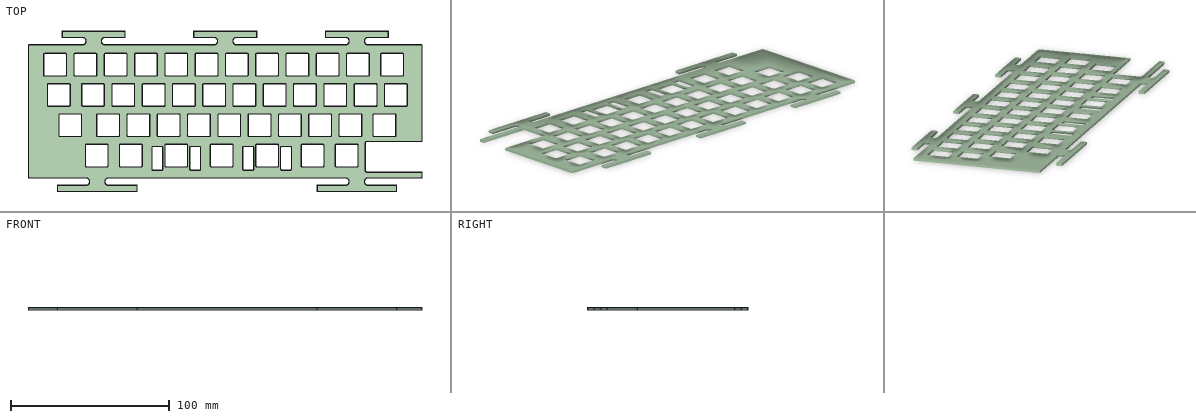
import cadquery as cq

length = 248.0
overall_width = 101.0
thickness = 1.5
corner_radius = 0.7

rail_width = 4.0
rail_gap = 4.5
neck_width = 10.0
neck_fillet = 2.0
top_rail_length = 39.7
top_rail_pitch = 82.8
bottom_rail_length = 50.0
left_bottom_rail_x = -80.5
right_bottom_rail_x = top_rail_pitch

plate_width = overall_width - 2 * (rail_width + rail_gap)
top_rail_centres = [-top_rail_pitch, 0, top_rail_pitch]
bottom_rail_centres = [left_bottom_rail_x, right_bottom_rail_x]

notch_length = 35.7
notch_width = 19.3
notch_fillet = 1.0
arm_width = 3.7

run_keys = 11
run_span = 190.7
key_unit = run_span / (run_keys - 1)
key_size = 14.1
key_fillet = 0.5
first_key_x = -length / 2 + 16.9
first_row_y = plate_width / 2 - 12.6

key_rows = [
    [*range(run_keys), 11.125],
    [0.125, *[1.25 + i for i in range(run_keys)]],
    [0.5, *[1.75 + i for i in range(9)], 10.875],
    [1.375, 2.5, 4.0, 5.5, 7.0, 8.5, 9.625],
]

wide_keys = [4.0, 7.0]
stabilizer_offset = 12.0
stabilizer_width = 6.7
stabilizer_height = 15.0
stabilizer_drop = 1.7


def key_centre(row, units):
    return (first_key_x + units * key_unit, first_row_y - row * key_unit)


def rounded_slab(width, height, radius, centres):
    """Slabs of the plate's thickness with rounded corners, one at each centre."""
    slabs = cq.Workplane("XY").pushPoints(centres).rect(width, height).extrude(thickness)
    return slabs.edges("|Z").fillet(radius)


def rail(rail_length, x, side):
    """Rail and filleted neck on the +Y (side = 1) or -Y (side = -1) edge of the plate.

    Half the outline is traced, flaring into both the plate and the bar, and then mirrored.
    """
    edge_y = side * plate_width / 2
    bar_inner_y = edge_y + side * rail_gap
    bar_outer_y = bar_inner_y + side * rail_width
    foot_y = edge_y - side * rail_width
    half_neck = neck_width / 2
    half_flare = half_neck + neck_fillet
    half_rail = (
        cq.Workplane("XY")
        .moveTo(x - half_flare, edge_y)
        .radiusArc((x - half_neck, edge_y + side * neck_fillet), side * -neck_fillet)
        .lineTo(x - half_neck, bar_inner_y - side * neck_fillet)
        .radiusArc((x - half_flare, bar_inner_y), side * -neck_fillet)
        .lineTo(x - rail_length / 2, bar_inner_y)
        .lineTo(x - rail_length / 2, bar_outer_y)
        .lineTo(x, bar_outer_y)
        .lineTo(x, foot_y)
        .lineTo(x - half_flare, foot_y)
        .close()
        .extrude(thickness)
    )
    return half_rail.union(half_rail.mirror("YZ", (x, 0, 0)))


def notch():
    centre_y = -plate_width / 2 + arm_width + notch_width / 2
    return rounded_slab(2 * notch_length, notch_width, notch_fillet, [(length / 2, centre_y)])


def key_holes():
    centres = [key_centre(row, units) for row, keys in enumerate(key_rows) for units in keys]
    return rounded_slab(key_size, key_size, key_fillet, centres)


def stabilizer_slots():
    bottom_row = len(key_rows) - 1
    centres = []
    for units in wide_keys:
        x, y = key_centre(bottom_row, units)
        for side in (-1, 1):
            centres.append((x + side * stabilizer_offset, y - stabilizer_drop))
    return rounded_slab(stabilizer_width, stabilizer_height, key_fillet, centres)


plate = rounded_slab(length, plate_width, corner_radius, [(0, 0)])
for rail_x in top_rail_centres:
    plate = plate.union(rail(top_rail_length, rail_x, 1))
for rail_x in bottom_rail_centres:
    plate = plate.union(rail(bottom_rail_length, rail_x, -1))

result = plate.cut(notch()).cut(key_holes()).cut(stabilizer_slots())